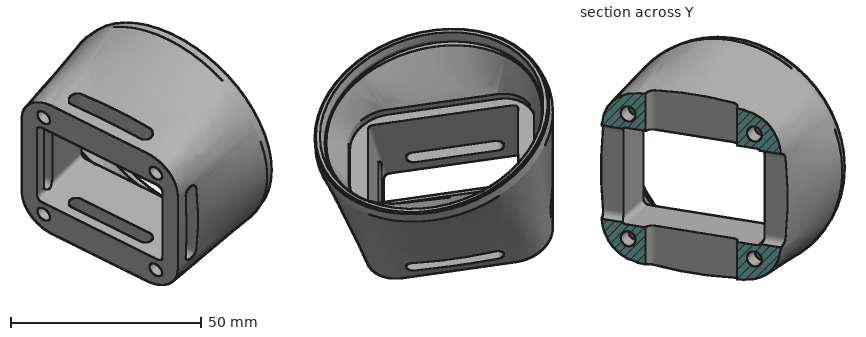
import cadquery as cq
import math

outer_radius = 32.0
body_length = 34.0
front_y = -body_length / 2
rear_y = body_length / 2

face_width = 50.5
face_height = 46.7
face_corner = 10.0

rim_length = 3.0
rim_y = rear_y - rim_length
rim_end_radius = 31.55
rim_chamfer = 0.4

window_width = 40.45
window_height = 27.15
window_corner = 1.55
window_depth = 20.0
recess_width = 49.9
recess_height = 32.9
recess_corner = 10.0
recess_length = 2.0
throat_radius = 29.45
mouth_depth = 2.0
mouth_radius = 30.1

slot_length = 26.25
slot_width = 4.0
slot_setback = 5.0

hole_diameter = 4.1
hole_depth = 10.0
hole_spacing_x = 36.2
hole_spacing_z = 35.25


def section_plane(y):
    """Plane across the axis at y, with local x along X, local y along Z and its normal along -Y."""
    return cq.Workplane("XZ", origin=(0, y, 0))


def rounded_rectangle(y, width, height, corner):
    """Closed outline of a rectangle with round corners, ready to extrude."""
    outline = cq.Sketch().rect(width, height).vertices().fillet(corner)
    return section_plane(y).placeSketch(outline)


def rectangle_to_circle(start_y, width, height, corner, end_y, radius):
    """Ruled body from a rounded rectangle to a circle.

    The circle is split at the polar angles of the rectangle's tangent points, so that
    every straight side and every corner has its own arc of the circle.
    """
    half_width = width / 2
    half_height = height / 2
    flat_x = half_width - corner
    flat_z = half_height - corner
    middle_offset = corner * math.sqrt(0.5)

    def on_circle(x, z):
        """Point of the circle in the direction of (x, z)."""
        stretch = radius / math.hypot(x, z)
        return (x * stretch, z * stretch)

    rectangle = section_plane(start_y).moveTo(half_width, -flat_z)
    circle = section_plane(end_y).moveTo(*on_circle(half_width, -flat_z))
    side_middles = [(1, 0), (0, 1), (-1, 0), (0, -1)]
    corner_signs = [(1, 1), (-1, 1), (-1, -1), (1, -1)]
    for side_middle, (sign_x, sign_z) in zip(side_middles, corner_signs):
        tangent_points = [
            (sign_x * half_width, sign_z * flat_z),
            (sign_x * flat_x, sign_z * half_height),
        ]
        if sign_x * sign_z < 0:
            tangent_points.reverse()
        start, end = tangent_points
        middle = (sign_x * (flat_x + middle_offset), sign_z * (flat_z + middle_offset))
        rectangle = rectangle.lineTo(*start).threePointArc(middle, end)
        circle = circle.threePointArc(on_circle(*side_middle), on_circle(*start))
        circle = circle.threePointArc(on_circle(*middle), on_circle(*end))
    wires = [rectangle.close().val(), circle.close().val()]
    return cq.Workplane(cq.Solid.makeLoft(wires, True))


def truncated_cone(start_y, start_radius, end_y, end_radius):
    """Cone frustum, or cylinder for equal radii, along Y."""
    profile = [(0, start_y), (start_radius, start_y), (end_radius, end_y), (0, end_y)]
    return cq.Workplane("XY").polyline(profile).close().revolve(360, (0, 0), (0, 1))


def outer_body():
    """Shell outside: loft from the front face to the full circle, then the rear rim."""
    loft = rectangle_to_circle(front_y, face_width, face_height, face_corner, rim_y, outer_radius)
    rim = truncated_cone(rim_y, outer_radius, rear_y, rim_end_radius)
    return loft.union(rim.faces(">Y").chamfer(rim_chamfer))


def cavity():
    """Window, wider straight recess, flare to a circle, short cylindrical throat and conical mouth."""
    recess_y = front_y + window_depth
    flare_y = recess_y + recess_length
    mouth_y = rear_y - mouth_depth
    recess_section = (recess_width, recess_height, recess_corner)
    window = rounded_rectangle(front_y, window_width, window_height, window_corner).extrude(-window_depth)
    recess = rounded_rectangle(recess_y, *recess_section).extrude(-recess_length)
    flare = rectangle_to_circle(flare_y, *recess_section, mouth_y, throat_radius)
    throat = truncated_cone(rim_y, throat_radius, mouth_y, throat_radius)
    mouth = truncated_cone(mouth_y, throat_radius, rear_y, mouth_radius)
    return window.union(recess).union(flare).union(throat).union(mouth)


def side_slots():
    """One long slot cutter along Z and one along X, each crossing both opposite walls."""
    slot_y = front_y + slot_setback
    outline = cq.Workplane("XY").center(0, slot_y).slot2D(slot_length, slot_width)
    along_z = outline.extrude(outer_radius, both=True)
    return along_z.union(along_z.rotate((0, 0, 0), (0, 1, 0), 90))


def mounting_holes():
    """Four blind holes at the corners of the front face."""
    places = section_plane(front_y).rect(hole_spacing_x, hole_spacing_z, forConstruction=True).vertices()
    return places.circle(hole_diameter / 2).extrude(-hole_depth)


result = outer_body().cut(cavity()).cut(side_slots()).cut(mounting_holes())